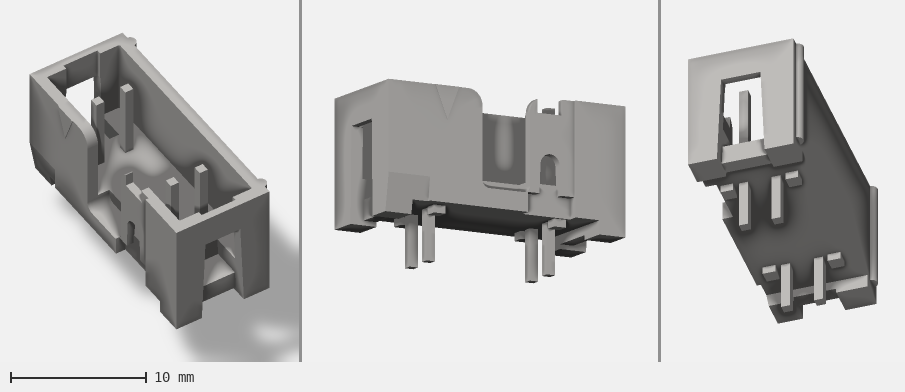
import cadquery as cq
import math


BODY_LENGTH = 20.02
BODY_WIDTH = 8.15
BODY_TOP = 9.88
SIDE_WALL = 0.9
END_WALL = 0.97
CAVITY_CORNER_RADIUS = 0.12
FLOOR_BOTTOM = 1.07
FLOOR_TOP = 3.48
FOOT_LENGTH = 2.2

LEFT = -BODY_LENGTH / 2
FRONT = -BODY_WIDTH / 2
BACK = BODY_WIDTH / 2

WINDOW_TOP = 7.35
WINDOW_TOP_WIDTH = 3.05
LEFT_WINDOW_BOTTOM_WIDTH = 3.3
RIGHT_WINDOW_BOTTOM_WIDTH = 3.68
END_RECESS_WIDTH = 2.97
THIN_END_WALL = 0.6
LEDGE_START = 1.09
LEDGE_TOP = 1.93
LEDGE_BOTTOM = 0.36
FLOOR_STEP_START = 3.39

PIN_SIZE = 0.7
PIN_TOP = 9.68
PIN_BOTTOM = -2.87
PIN_X = 5.08
PIN_Y = 1.27
STANDOFF_SIZE = 0.98
STANDOFF_SETBACK = 1.07
STANDOFF_BOTTOM = 0.47
STANDOFF_Y = BODY_WIDTH / 2 - STANDOFF_SETBACK - STANDOFF_SIZE / 2

RIB_X = 8.9
RIB_RADIUS = 0.47
RIB_HEIGHT = 0.43

SLOT_WIDTH = 4.16
SLOT_BOTTOM = 2.53
SLOT_DEPTH = 1.89
SLOT_BOTTOM_RADIUS = 0.6
SLOT_TOP_RADIUS = 1.2

LATCH_END = 5.8
LATCH_RECESS = 0.25
LATCH_BOTTOM = 2.64
LATCH_START = 1.78
LOWER_RECESS = 0.83
ARCH_X = 3.78
ARCH_BOTTOM_WIDTH = 1.82
ARCH_SPRING_WIDTH = 1.62
ARCH_TOP = 5.67
NOTCH_WIDTH = 2.11
NOTCH_BOTTOM = 8.69

MARK_WIDTH = 2.0
MARK_HEIGHT = 2.55
MARK_RAISE = 0.06
BEVEL_LENGTH = 3.5
BEVEL_HEIGHT = 2.88
BEVEL_DEPTH = 0.5


def block(x0, x1, y0, y1, z0, z1):
    """Axis-aligned box between two opposite corners."""
    return cq.Workplane("XY").box(x1 - x0, y1 - y0, z1 - z0, centered=False).translate((x0, y0, z0))


def both_ends(shape):
    """Join a feature at the -X end with its mirror image at the +X end."""
    return shape.union(shape.mirror("YZ"))


def make_shroud():
    shroud = block(LEFT, -LEFT, FRONT, BACK, 0, BODY_TOP)
    under_floor = block(LEFT + FOOT_LENGTH, -LEFT - FOOT_LENGTH, FRONT, BACK, 0, FLOOR_BOTTOM)
    cavity = block(
        LEFT + END_WALL, -LEFT - END_WALL, FRONT + SIDE_WALL, BACK - SIDE_WALL, FLOOR_TOP, BODY_TOP
    )
    cavity = cavity.edges("|Z").fillet(CAVITY_CORNER_RADIUS)
    return shroud.cut(under_floor).cut(cavity)


def make_window_cut(top_width, bottom_width):
    """Window, inner wall recess and floor step placed at the -X end."""
    depth = FLOOR_STEP_START
    half_top = top_width / 2
    half_bottom = bottom_width / 2
    window = (
        cq.Workplane("YZ", origin=(LEFT, 0, 0))
        .polyline([(-half_bottom, 0), (half_bottom, 0), (half_top, WINDOW_TOP), (-half_top, WINDOW_TOP)])
        .close()
        .extrude(depth)
    )
    ledge = block(
        LEFT + LEDGE_START, LEFT + depth, -bottom_width, bottom_width, LEDGE_BOTTOM, LEDGE_TOP
    )
    half_recess = END_RECESS_WIDTH / 2
    recess = block(
        LEFT + THIN_END_WALL, LEFT + LEDGE_START, -half_recess, half_recess, LEDGE_TOP, BODY_TOP
    )
    return window.cut(ledge).union(recess)


def make_slot_cut():
    """U-shaped slot with rounded floor corners and flared top corners."""
    half = SLOT_WIDTH / 2
    flared = half + SLOT_TOP_RADIUS
    flare_start = BODY_TOP - SLOT_TOP_RADIUS
    diagonal = SLOT_TOP_RADIUS * math.sqrt(0.5)
    profile = (
        cq.Workplane("XZ", origin=(0, FRONT, 0))
        .moveTo(-half, SLOT_BOTTOM)
        .lineTo(half, SLOT_BOTTOM)
        .lineTo(half, flare_start)
        .threePointArc((flared - diagonal, flare_start + diagonal), (flared, BODY_TOP))
        .lineTo(-flared, BODY_TOP)
        .threePointArc((-flared + diagonal, flare_start + diagonal), (-half, flare_start))
        .close()
        .extrude(-SLOT_DEPTH)
    )
    return profile.edges("|Y").edges("<Z").fillet(SLOT_BOTTOM_RADIUS)


def make_latch_cut():
    """Recessed latch face, deeper recess below it, arched opening and top notch."""
    face = block(LATCH_START, LATCH_END, FRONT, FRONT + LATCH_RECESS, LATCH_BOTTOM, BODY_TOP)
    lower = block(LATCH_START, LATCH_END, FRONT, FRONT + LOWER_RECESS, FLOOR_BOTTOM, LATCH_BOTTOM)
    wall_back = FRONT + SIDE_WALL
    half_notch = NOTCH_WIDTH / 2
    notch = block(ARCH_X - half_notch, ARCH_X + half_notch, FRONT, wall_back, NOTCH_BOTTOM, BODY_TOP)
    half_bottom = ARCH_BOTTOM_WIDTH / 2
    half_spring = ARCH_SPRING_WIDTH / 2
    spring = ARCH_TOP - half_spring
    arch = (
        cq.Workplane("XZ", origin=(ARCH_X, FRONT, 0))
        .moveTo(-half_bottom, LATCH_BOTTOM)
        .lineTo(half_bottom, LATCH_BOTTOM)
        .lineTo(half_spring, spring)
        .threePointArc((0, ARCH_TOP), (-half_spring, spring))
        .close()
        .extrude(-SIDE_WALL)
    )
    floor_front = block(
        ARCH_X - half_bottom, ARCH_X + half_bottom,
        FRONT + LOWER_RECESS, wall_back,
        FLOOR_BOTTOM, FLOOR_TOP,
    )
    return face.union(lower).union(notch).union(arch.cut(floor_front))


def make_bevel_cut():
    """Wedge removed from the lower front corner at the -X end."""
    return (
        cq.Workplane("YZ", origin=(LEFT, 0, 0))
        .polyline([(FRONT, 0), (FRONT + BEVEL_DEPTH, 0), (FRONT, BEVEL_HEIGHT)])
        .close()
        .extrude(BEVEL_LENGTH)
    )


def make_mark():
    """Raised triangle over the first pin."""
    half = MARK_WIDTH / 2
    return (
        cq.Workplane("XZ", origin=(-PIN_X, FRONT, 0))
        .polyline([(-half, BODY_TOP), (half, BODY_TOP), (0, BODY_TOP - MARK_HEIGHT)])
        .close()
        .extrude(MARK_RAISE)
    )


def make_rib():
    """Vertical half-round rib on the back wall near the -X end."""
    center_y = BACK + RIB_HEIGHT - RIB_RADIUS
    return (
        cq.Workplane("XY", origin=(-RIB_X, center_y, FLOOR_BOTTOM))
        .circle(RIB_RADIUS)
        .extrude(BODY_TOP - FLOOR_BOTTOM)
    )


def make_post(y, size, bottom, top):
    """Square post at the X of the left pins."""
    half = size / 2
    return block(-PIN_X - half, -PIN_X + half, y - half, y + half, bottom, top)


result = make_shroud()
result = result.cut(make_window_cut(WINDOW_TOP_WIDTH, LEFT_WINDOW_BOTTOM_WIDTH))
result = result.cut(make_window_cut(WINDOW_TOP_WIDTH, RIGHT_WINDOW_BOTTOM_WIDTH).mirror("YZ"))
for cutter in (make_slot_cut(), make_latch_cut(), make_bevel_cut()):
    result = result.cut(cutter)
result = result.union(make_mark()).union(both_ends(make_rib()))
for side in (-1, 1):
    standoff = make_post(side * STANDOFF_Y, STANDOFF_SIZE, STANDOFF_BOTTOM, FLOOR_BOTTOM)
    pin = make_post(side * PIN_Y, PIN_SIZE, PIN_BOTTOM, PIN_TOP)
    result = result.union(both_ends(standoff)).union(both_ends(pin))